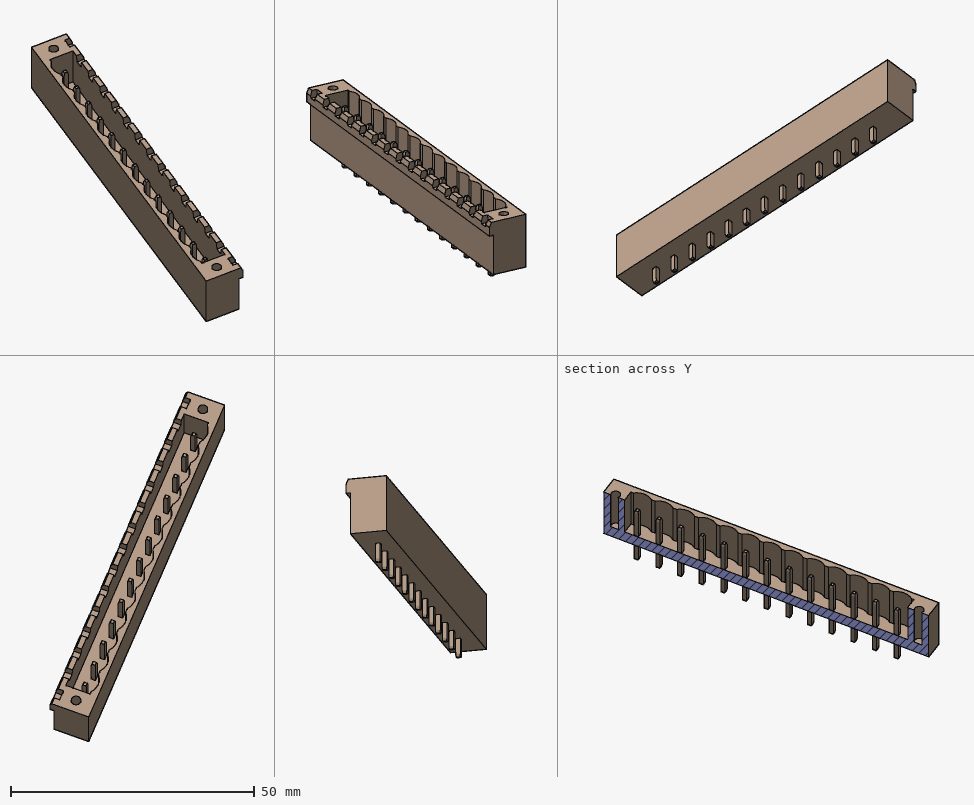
import cadquery as cq

length = 76.2
position_count = 15
pitch = length / position_count
pin_count = position_count - 2
body_depth = 7.7
body_height = 12.0

ledge_overhang = 0.9
ledge_height = 3.05
ledge_chamfer_depth = 0.45
ledge_chamfer_height = 1.1
back_edge = body_depth + ledge_overhang

pocket_length = 66.3
front_wall = 1.7
back_wall = 1.6
pocket_depth = 9.15
pocket_back = back_edge - back_wall
pocket_floor = body_height - pocket_depth
scallop_width = 4.2
scallop_depth = 0.8

notch_top_width = 2.2
notch_floor_width = 1.5
notch_depth = 1.5

centre_line = 3.8
pin_width = 1.0
pin_tail = 4.05
pin_recess = 2.1
pin_tip_inset = 0.15
pin_tip_height = 0.6
screw_hole_diameter = 2.0
screw_hole_depth = pocket_depth


def row(count):
    """X positions of evenly pitched features centred on the housing."""
    return [(i - (count - 1) / 2) * pitch for i in range(count)]


def housing_block():
    profile = [
        (0, 0),
        (body_depth, 0),
        (body_depth, body_height - ledge_height),
        (back_edge, body_height - ledge_height),
        (back_edge, body_height - ledge_chamfer_height),
        (back_edge - ledge_chamfer_depth, body_height),
        (0, body_height),
    ]
    return cq.Workplane("YZ").polyline(profile).close().extrude(length / 2, both=True)


def plug_pocket():
    half = pocket_length / 2
    outline = cq.Workplane("XY", origin=(0, 0, pocket_floor)).moveTo(-half, pocket_back)
    outline = outline.lineTo(-half, front_wall)
    for x in row(pin_count):
        outline = outline.lineTo(x - scallop_width / 2, front_wall)
        outline = outline.threePointArc(
            (x, front_wall - scallop_depth), (x + scallop_width / 2, front_wall)
        )
    outline = outline.lineTo(half, front_wall).lineTo(half, pocket_back).close()
    return outline.extrude(pocket_depth)


def keying_notch(x):
    floor = body_height - notch_depth
    profile = [
        (x - notch_top_width / 2, body_height),
        (x - notch_floor_width / 2, floor),
        (x + notch_floor_width / 2, floor),
        (x + notch_top_width / 2, body_height),
    ]
    plane = cq.Workplane("XZ", origin=(0, back_edge, 0))
    return plane.polyline(profile).close().extrude(back_wall)


def contact_pin(x):
    pin_length = pin_tail + body_height - pin_recess
    pin = cq.Workplane("XY", origin=(x, centre_line, -pin_tail)).rect(pin_width, pin_width)
    pin = pin.extrude(pin_length)
    pin = pin.faces(">Z").chamfer(pin_tip_height, pin_tip_inset)
    return pin.faces("<Z").chamfer(pin_tip_height, pin_tip_inset)


result = housing_block().cut(plug_pocket())

for x in row(position_count):
    result = result.cut(keying_notch(x))

screw_row = row(position_count)
for x in (screw_row[0], screw_row[-1]):
    hole = cq.Workplane("XY", origin=(x, centre_line, body_height))
    result = result.cut(hole.circle(screw_hole_diameter / 2).extrude(-screw_hole_depth))

for x in row(pin_count):
    result = result.union(contact_pin(x))